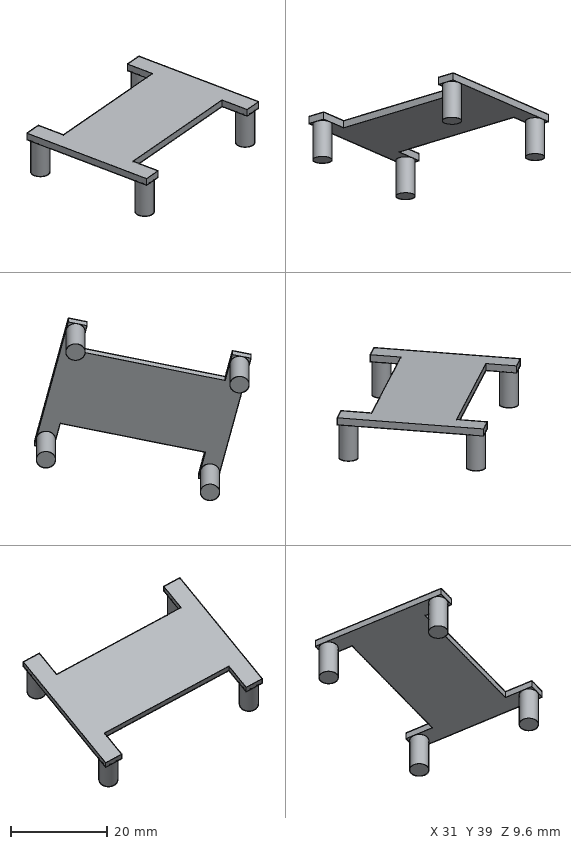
import cadquery as cq

width = 31.0
length = 39.0
plate_thickness = 1.6
leg_height = 8.0

web_width = 18.0

leg_diameter = 4.0
crossbar_depth = leg_diameter
leg_x = (width - leg_diameter) / 2
leg_y = (length - leg_diameter) / 2


def make_plate():
    """Central web joining a crossbar at each end, with its underside at Z = 0."""
    plate = cq.Workplane("XY").box(web_width, length, plate_thickness, centered=(True, True, False))
    crossbar_y = (length - crossbar_depth) / 2
    crossbars = (
        cq.Workplane("XY")
        .pushPoints([(0, -crossbar_y), (0, crossbar_y)])
        .box(width, crossbar_depth, plate_thickness, centered=(True, True, False))
    )
    return plate.union(crossbars)


def make_legs():
    """Four cylinders hanging below the corners of the plate."""
    return (
        cq.Workplane("XY")
        .rect(2 * leg_x, 2 * leg_y, forConstruction=True)
        .vertices()
        .circle(leg_diameter / 2)
        .extrude(-leg_height)
    )


result = make_plate().union(make_legs())